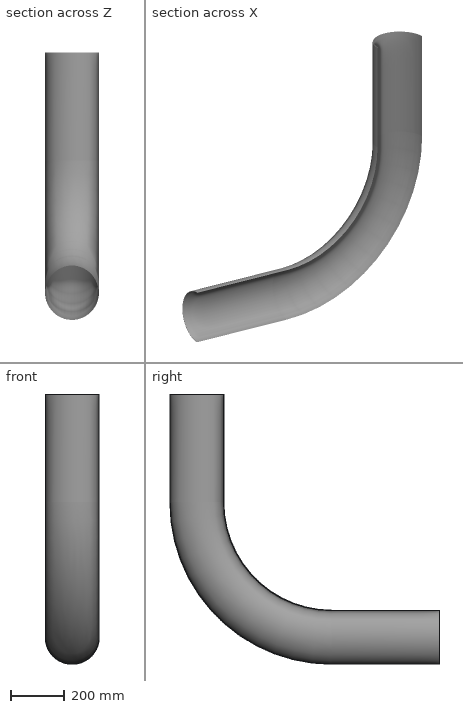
import cadquery as cq

outer_diameter = 203.2
inner_diameter = 200.0
straight_length = 2 * outer_diameter
bend_radius = 2.5 * outer_diameter
bend_angle = 90



def pipe_profile(plane):
    """Annular cross-section of the pipe, centred on the given plane."""
    return cq.Workplane(plane).circle(outer_diameter / 2).circle(inner_diameter / 2)


def upright_leg():
    start = cq.Plane(origin=(0, -bend_radius, 0), xDir=(1, 0, 0), normal=(0, 0, 1))
    return pipe_profile(start).extrude(straight_length)


def level_leg():
    start = cq.Plane(origin=(0, 0, -bend_radius), xDir=(1, 0, 0), normal=(0, 1, 0))
    return pipe_profile(start).extrude(straight_length)


def elbow():
    start = cq.Plane(origin=(0, -bend_radius, 0), xDir=(1, 0, 0), normal=(0, 0, 1))
    axis_start = (0, bend_radius, 0)
    axis_end = (1, bend_radius, 0)
    return pipe_profile(start).revolve(bend_angle, axis_start, axis_end)


result = elbow().union(upright_leg()).union(level_leg())